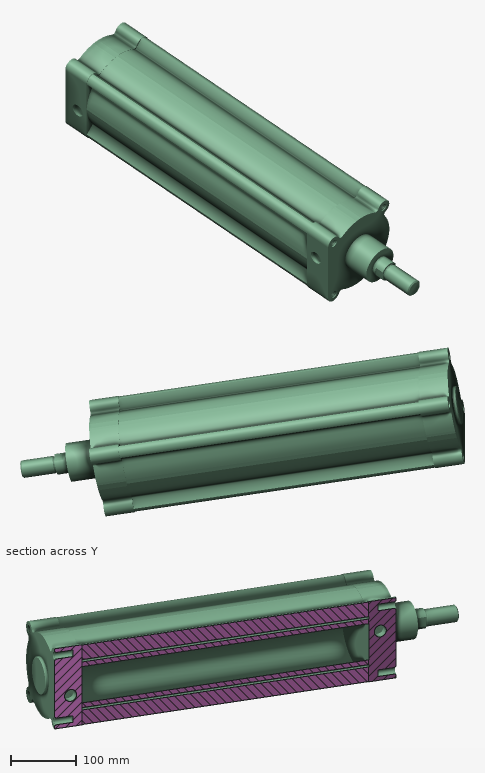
import cadquery as cq
import math


overall_length = 685.0
pilot_height = 5.0
cap_length = 45.5
barrel_length = 470.0
bearing_length = 45.0
barrel_start = pilot_height + cap_length
front_cap_start = barrel_start + barrel_length
front_face = front_cap_start + cap_length
bearing_end = front_face + bearing_length

cap_half_size = 67.5
cap_radius = cap_half_size
cap_lobe_radius = 12.5
cap_lobe_offset = cap_half_size - cap_lobe_radius
cap_neck_fillet = 5.0
cap_ridge_half_width = 9.0
cap_crest_half_width = 5.0

barrel_half_size = 67.0
barrel_radius = 67.0
barrel_bore = 125.0
barrel_lobe_radius = 13.0
barrel_lobe_offset = barrel_half_size - barrel_lobe_radius
barrel_neck_fillet = 2.0
barrel_ridge_half_width = 7.0
barrel_ridge_height = 67.5

pilot_diameter = 60.0
pilot_chamfer = 1.0
bearing_diameter = 60.0
screw_hole_diameter = 10.2
screw_hole_depth = 30.0
screw_recess_diameter = 12.5
screw_recess_depth = 2.0
port_diameter = 19.0
port_depth = 24.0
port_chamfer = 1.2
port_from_outer_face = 26.5
port_height = 15.0

rod_diameter = 32.0
thread_diameter = 27.0
flats_width = 28.0
flats_start = 616.5
thread_start = 631.0
undercut_depth = 1.0
undercut_length = 2.0
thread_chamfer = 2.0


def section_plane(x):
    """Plane across the axis at x, with local x along +Y and local y along +Z."""
    return cq.Workplane("YZ", origin=(x, 0, 0))


def turned(x, diameter, length):
    return section_plane(x).circle(diameter / 2).extrude(length)


def add_on_four_sides(body, feature):
    """Union the feature onto the body at each quarter turn about the X axis."""
    for angle in (0, 90, 180, 270):
        body = body.union(feature.rotate((0, 0, 0), (1, 0, 0), angle))
    return body


def fillet_necks(body, x, neck, radius):
    """Fillet the eight lengthwise edges where the sides of the lobes meet the round body."""
    edges = []
    for y, z in (neck, reversed(neck)):
        for side_y in (-1, 1):
            for side_z in (-1, 1):
                nearest = cq.selectors.NearestToPointSelector((x, side_y * y, side_z * z))
                edges.append(body.edges("|X").edges(nearest).val())
    return body.newObject(edges).fillet(radius)


def off_diagonal(along, aside):
    """Coordinates of the point at a distance along the 45 degree diagonal and aside from it."""
    return (along + aside) * math.sqrt(0.5), (along - aside) * math.sqrt(0.5)


def build_barrel():
    body = turned(barrel_start, 2 * barrel_radius, barrel_length)

    arc_mid = barrel_lobe_offset + barrel_lobe_radius * math.sqrt(0.5)
    lobe = (
        section_plane(barrel_start)
        .moveTo(barrel_half_size, barrel_lobe_offset)
        .threePointArc((arc_mid, arc_mid), (barrel_lobe_offset, barrel_half_size))
        .lineTo(0, barrel_lobe_radius)
        .lineTo(barrel_lobe_radius, 0)
        .close()
        .extrude(barrel_length)
    )
    body = add_on_four_sides(body, lobe)

    bar_half_width = barrel_lobe_radius * math.sqrt(0.5)
    neck = off_diagonal(math.sqrt(barrel_radius**2 - bar_half_width**2), bar_half_width)
    body = fillet_necks(body, barrel_start + barrel_length / 2, neck, barrel_neck_fillet)

    ridge_foot = math.sqrt(barrel_radius**2 - barrel_ridge_half_width**2)
    ridge_outline = [
        (-barrel_ridge_half_width, ridge_foot),
        (0, barrel_ridge_height),
        (barrel_ridge_half_width, ridge_foot),
        (0, 0),
    ]
    ridge = section_plane(barrel_start).polyline(ridge_outline).close().extrude(barrel_length)
    body = add_on_four_sides(body, ridge)
    return body.cut(turned(barrel_start, barrel_bore, barrel_length))


def build_cap(start, outer_face, inward, port_z):
    """Cap block from start; inward is the X direction from its outer face to the barrel."""
    body = turned(start, 2 * cap_radius, cap_length)

    lobe = (
        section_plane(start)
        .center(cap_lobe_offset, cap_lobe_offset)
        .circle(cap_lobe_radius)
        .extrude(cap_length)
    )
    body = add_on_four_sides(body, lobe)

    lobe_distance = cap_lobe_offset * math.sqrt(2)
    along = (cap_radius**2 - cap_lobe_radius**2 + lobe_distance**2) / (2 * lobe_distance)
    neck = off_diagonal(along, math.sqrt(cap_radius**2 - along**2))
    body = fillet_necks(body, start + cap_length / 2, neck, cap_neck_fillet)

    ridge_foot = math.sqrt(cap_radius**2 - cap_ridge_half_width**2)
    ridge_outline = [
        (-cap_ridge_half_width, ridge_foot),
        (-cap_crest_half_width, cap_half_size),
        (cap_crest_half_width, cap_half_size),
        (cap_ridge_half_width, ridge_foot),
        (0, 0),
    ]
    ridge = section_plane(start).polyline(ridge_outline).close().extrude(cap_length)
    body = add_on_four_sides(body, ridge)

    port_side = section_plane(start).rect(cap_half_size, 2 * cap_lobe_offset).extrude(cap_length)
    body = body.union(port_side.translate((0, -cap_half_size / 2, 0)))

    pitch = 2 * cap_lobe_offset
    screws = section_plane(outer_face).rect(pitch, pitch, forConstruction=True).vertices()
    body = body.cut(screws.circle(screw_hole_diameter / 2).extrude(inward * screw_hole_depth))
    body = body.cut(screws.circle(screw_recess_diameter / 2).extrude(inward * screw_recess_depth))

    port_radius = port_diameter / 2
    mouth_radius = port_radius + port_chamfer
    port_outline = [
        (0, 0),
        (mouth_radius, 0),
        (port_radius, port_chamfer),
        (port_radius, port_depth),
        (0, port_depth),
    ]
    port = cq.Workplane("XY").polyline(port_outline).close().revolve(360, (0, 0, 0), (0, 1, 0))
    port_x = outer_face + inward * port_from_outer_face
    return body.cut(port.translate((port_x, -cap_half_size, port_z)))


def build_rear_cap():
    pilot = turned(0, pilot_diameter, barrel_start).faces("<X").chamfer(pilot_chamfer)
    return build_cap(pilot_height, pilot_height, 1, -port_height).union(pilot)


def build_front_cap():
    cap = build_cap(front_cap_start, front_face, -1, port_height)
    guide_length = bearing_end - front_cap_start
    bearing = turned(front_cap_start, bearing_diameter, guide_length)
    rod_bore = turned(front_cap_start, rod_diameter, guide_length)
    return cap.union(bearing).cut(rod_bore)


def build_piston_rod():
    rod_radius = rod_diameter / 2
    thread_radius = thread_diameter / 2
    undercut_radius = thread_radius - undercut_depth
    undercut_end = thread_start + undercut_length
    rod_outline = [
        (front_cap_start, 0),
        (front_cap_start, rod_radius),
        (thread_start, rod_radius),
        (thread_start, undercut_radius),
        (undercut_end, undercut_radius),
        (undercut_end + undercut_depth, thread_radius),
        (overall_length - thread_chamfer, thread_radius),
        (overall_length, thread_radius - thread_chamfer),
        (overall_length, 0),
    ]
    rod = cq.Workplane("XZ").polyline(rod_outline).close().revolve(360, (0, 0, 0), (1, 0, 0))

    flats_length = thread_start - flats_start
    around_flats = turned(flats_start, 2 * rod_diameter, flats_length)
    between_flats = section_plane(flats_start).rect(flats_width, rod_diameter).extrude(flats_length)
    return rod.cut(around_flats.cut(between_flats))


rear_cap = build_rear_cap()
barrel = build_barrel()
front_cap = build_front_cap()
piston_rod = build_piston_rod()

bodies = [rear_cap, barrel, front_cap, piston_rod]
result = cq.Compound.makeCompound([body.solids().val() for body in bodies])